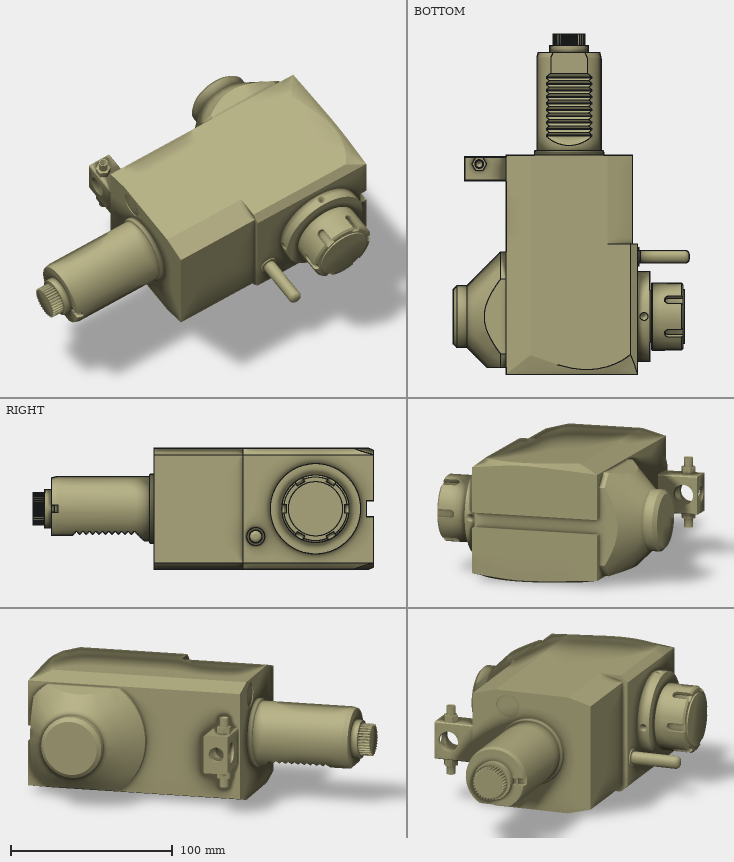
import cadquery as cq
import math


housing_length = 136.0
housing_height = 75.0
housing_left = -39.0
housing_right = 42.5
half_height = housing_height / 2
side_angle = 15.0
left_break = -23.8
edge_drop = (left_break - housing_left) * math.tan(math.radians(side_angle))
edge_z = half_height - edge_drop
right_break = 38.0
relief_side = 39.3
relief_break = relief_side - (left_break - housing_left)
relief_length = 55.0

crown_ridge_x = 13.8
crown_ridge_setback = 3.2
crown_ridge_rise = 6.5
crown_left_setback = 11.9
crown_right_setback = 12.4
crown_edge_setback = 17.0
rear_slot_width = 9.7
rear_slot_depth = 4.4

spindle_y = 100.0
cap_end = -71.7
cap_radius = 19.3
cap_chamfer = 2.4
cone_start = -63.1
flange_radius = 40.0
flange_face = cone_start + flange_radius - cap_radius
cap_rear_y = housing_length - rear_slot_depth
cap_edge_z = 32.6

collar_radius = 28.0
collar_end = 50.1
neck_radius = 16.2
nut_start = 51.0
nut_end = 70.7
nut_radius = 20.9
nut_rear_chamfer = 0.6
nut_front_chamfer = 1.2
nut_face_radius = 16.8
nut_face_end = 71.6
nut_slots = 6
nut_slot_width = 5.4
nut_slot_start = 59.2
nut_slot_depth = 3.0
dimples = 4
dimple_x = 46.4
dimple_radius = 2.5

pin_y = 63.0
pin_z = -17.2
pin_radius = 4.0
pin_end = 74.44
pin_rounding = 2.7
pin_seat_radius = 5.6
pin_seat_height = 0.7
pin_neck_radius = 3.8
pin_neck_end = 44.3

shank_radius = 20.0
shank_length = 63.5
shank_chamfer_radial = 0.8
shank_chamfer_length = 3.3
lip_radius = 21.5
lip_length = 2.9
lip_rounding = 1.2
hub_radius = 12.0
hub_end = 67.7
spline_end = 75.0
spline_radius = 10.0
spline_root = 8.9
spline_teeth = 32
spline_gap_share = 0.3
spline_tip_start = 0.5
spline_tip_finish = 0.8
key_width = 4.6
key_floor = 14.7
key_inner_width = 3.8
key_depth = 4.0
key_inner_depth = 2.0

rack_flat_z = -16.5
rack_root_z = -14.2
rack_pitch = 4.0
rack_first = 12.0
rack_teeth = 10
rack_root_width = 0.6

block_left = -64.6
block_front = 1.0
block_rear = 16.2
block_height = 24.0
block_chamfer = 0.6
fitting_x = -55.6
fitting_y = 5.6
hex_flats = 7.9
hex_height = 4.2
stud_radius = 2.7
stud_top = 22.0
stud_mouth_radius = 2.2
stud_mouth_depth = 4.0
side_port_radius = 4.8
side_port_y = 8.2
side_port_depth = 21.0
side_bore_radius = 1.4
side_bore_depth = 3.0
front_port_radius = 6.4

plug_x = -15.6
plug_z = 27.7
plug_radius = 7.6
plug_depth = 0.6


def along_x(x, y, z):
    """Workplane facing +X, with local x along Y and local y along Z."""
    return cq.Workplane("YZ", origin=(x, y, z))


def rod_x(start, end, radius, y=spindle_y, z=0.0):
    return along_x(start, y, z).circle(radius).extrude(end - start)


def rod_y(start, end, radius):
    """Round section on the shank axis from -start to -end."""
    return cq.Workplane("XZ", origin=(0, -start, 0)).circle(radius).extrude(end - start)


def box_between(x, y, z):
    """Box given by its (low, high) limits along each axis."""
    size = (x[1] - x[0], y[1] - y[0], z[1] - z[0])
    return cq.Workplane("XY").box(*size, centered=False).translate((x[0], y[0], z[0]))


def mirror_z(solid):
    return solid.mirror("XY")


def housing_prism(side, break_x, start_y, end_y):
    """Housing section with the given right side, extruded along Y."""
    outline = [
        (housing_left, -edge_z), (left_break, -half_height), (break_x, -half_height), (side, -edge_z),
        (side, edge_z), (break_x, half_height), (left_break, half_height), (housing_left, edge_z),
    ]
    section = cq.Workplane("XZ", origin=(0, end_y, 0)).polyline(outline).close()
    return section.extrude(end_y - start_y)


def crown_section(z, setbacks):
    """Housing plan at height z, with its rear edge through (x, setback) points."""
    rear = [(x, housing_length - setback) for x, setback in setbacks]
    plan = cq.Workplane("XY", origin=(0, 0, z)).moveTo(rear[-1][0], 0).lineTo(rear[0][0], 0).lineTo(*rear[0])
    return plan.spline(rear[1:], includeCurrent=True).close()


def make_crown():
    """Plan envelope of the housing above edge_z, with the sloping curved rear face."""
    lower = crown_section(edge_z, [
        (housing_left, 0), (crown_ridge_x, -crown_ridge_rise), (housing_right, 0),
    ]).wires().val()
    upper = crown_section(half_height, [
        (housing_left, crown_edge_setback), (left_break, crown_left_setback),
        (crown_ridge_x, crown_ridge_setback), (right_break, crown_right_setback),
        (housing_right, crown_edge_setback),
    ]).wires().val()
    return cq.Workplane(cq.Solid.makeLoft([lower, upper], True))


def make_housing():
    rear = housing_prism(housing_right, right_break, relief_length, housing_length)
    front = housing_prism(relief_side, relief_break, 0, relief_length)
    body = front.union(rear)
    x_limits = (housing_left, housing_right)
    middle = body.intersect(box_between(x_limits, (0, housing_length), (-edge_z, edge_z)))
    top = body.intersect(make_crown())
    body = middle.union(top).union(mirror_z(top))
    slot = box_between(
        x_limits, (cap_rear_y, housing_length), (-rear_slot_width / 2, rear_slot_width / 2))
    plug = cq.Workplane("XZ").center(plug_x, plug_z).circle(plug_radius).extrude(-plug_depth)
    return body.cut(slot).cut(plug)


def make_bearing_cap():
    profile = [
        (cap_end, 0), (cap_end, cap_radius - cap_chamfer), (cap_end + cap_chamfer, cap_radius),
        (cone_start, cap_radius), (flange_face, flange_radius), (housing_left, flange_radius),
        (housing_left, 0),
    ]
    cap = cq.Workplane("XY").polyline(profile).close().revolve(360, (0, 0, 0), (1, 0, 0))
    cap = cap.translate((0, spindle_y, 0))
    end_z = cap_edge_z - (flange_face - cap_end) * math.tan(math.radians(side_angle))
    envelope = [
        (cap_end, -end_z), (flange_face, -cap_edge_z), (housing_left, -cap_edge_z),
        (housing_left, cap_edge_z), (flange_face, cap_edge_z), (cap_end, end_z),
    ]
    clip = cq.Workplane("XZ", origin=(0, cap_rear_y, 0)).polyline(envelope).close()
    return cap.intersect(clip.extrude(cap_rear_y))


def make_spindle_nose():
    collar = rod_x(housing_right, collar_end, collar_radius)
    dimple = cq.Workplane(cq.Solid.makeCone(0, dimple_radius, dimple_radius))
    dimple = dimple.translate((dimple_x, spindle_y, collar_radius - dimple_radius))
    for i in range(dimples):
        turned = dimple.rotate((0, spindle_y, 0), (1, spindle_y, 0), i * 360 / dimples)
        collar = collar.cut(turned)
    neck = rod_x(collar_end, nut_start, neck_radius)
    face = rod_x(nut_end, nut_face_end, nut_face_radius)
    return collar.union(neck).union(make_nut()).union(face)


def make_nut():
    nut = rod_x(nut_start, nut_end, nut_radius).faces("<X").chamfer(nut_rear_chamfer)
    nut = nut.faces(">X").chamfer(nut_front_chamfer)
    slot_floor = nut_radius - nut_slot_depth
    round_x = nut_slot_start + nut_slot_width / 2
    plan = cq.Workplane("XY", origin=(0, spindle_y, slot_floor))
    slot = plan.center(round_x, 0).circle(nut_slot_width / 2).extrude(2 * nut_slot_depth)
    slot = slot.union(box_between(
        (round_x, nut_end),
        (spindle_y - nut_slot_width / 2, spindle_y + nut_slot_width / 2),
        (slot_floor, slot_floor + 2 * nut_slot_depth)))
    for i in range(nut_slots):
        turn = (i + 0.5) * 360 / nut_slots
        nut = nut.cut(slot.rotate((0, spindle_y, 0), (1, spindle_y, 0), turn))
    return nut


def make_pin():
    pin = rod_x(pin_neck_end, pin_end, pin_radius, pin_y, pin_z).faces(">X").edges().fillet(pin_rounding)
    seat = rod_x(housing_right, housing_right + pin_seat_height, pin_seat_radius, pin_y, pin_z)
    neck = rod_x(housing_right, pin_neck_end, pin_neck_radius, pin_y, pin_z)
    return pin.union(neck).union(seat)


def make_shank():
    shank = rod_y(0, shank_length, shank_radius).faces("<Y").chamfer(
        shank_chamfer_length, shank_chamfer_radial)
    shank = cut_rack(shank)
    lip = rod_y(0, lip_length, lip_radius).faces("<Y").edges().fillet(lip_rounding)
    hub = rod_y(shank_length, hub_end, hub_radius)
    return cut_keyway(shank.union(lip)).union(hub).union(make_spline())


def cut_rack(shank):
    """Flat along the underside with a 45 degree run-in, crossed by V grooves."""
    groove_depth = rack_root_z - rack_flat_z
    run_in_end = rack_first - groove_depth - rack_root_width / 2
    run_in_start = rack_first - rack_root_width / 2 - (shank_radius + rack_root_z)
    side = cq.Workplane("YZ", origin=(-shank_radius, 0, 0))
    flat = side.polyline([
        (-run_in_start, -shank_radius), (-run_in_end, rack_flat_z),
        (-shank_length, rack_flat_z), (-shank_length, -shank_radius),
    ]).close().extrude(2 * shank_radius)
    shank = shank.cut(flat)
    for i in range(rack_teeth):
        y = -(rack_first + i * rack_pitch)
        root = rack_root_width / 2
        mouth = root + groove_depth
        groove = side.polyline([
            (y - root, rack_root_z), (y + root, rack_root_z),
            (y + mouth, rack_flat_z), (y - mouth, rack_flat_z),
        ]).close().extrude(2 * shank_radius)
        shank = shank.cut(groove)
    return shank


def cut_keyway(shank):
    """Stepped slot across the end face of the shank, on the +X side."""
    outer = box_between(
        (key_floor, lip_radius), (-shank_length, key_depth - shank_length), (-key_width / 2, key_width / 2))
    inner = box_between(
        (hub_radius, key_floor), (-shank_length, key_inner_depth - shank_length),
        (-key_inner_width / 2, key_inner_width / 2))
    return shank.cut(outer).cut(inner)


def make_spline():
    """Toothed drive end with straight-sided tapering teeth."""
    step = 2 * math.pi / spline_teeth
    outline = []
    tooth_corners = (
        (spline_root, 0.0), (spline_root, spline_gap_share),
        (spline_radius, spline_tip_start), (spline_radius, spline_tip_finish),
    )
    for i in range(spline_teeth):
        for radius, share in tooth_corners:
            angle = (i + share) * step
            outline.append((radius * math.cos(angle), radius * math.sin(angle)))
    section = cq.Workplane("XZ", origin=(0, -hub_end, 0)).polyline(outline).close()
    return section.extrude(spline_end - hub_end)


def make_coolant_block():
    block = box_between(
        (block_left, housing_left), (block_front, block_rear), (-block_height / 2, block_height / 2))
    block = block.edges("|X").chamfer(block_chamfer)
    side_port = rod_x(block_left, block_left + side_port_depth, side_port_radius, side_port_y)
    bore_start = block_left + side_port_depth
    side_bore = rod_x(bore_start, bore_start + side_bore_depth, side_bore_radius, side_port_y)
    front_plane = cq.Workplane("XZ", origin=(fitting_x, block_front, 0))
    front_port = front_plane.circle(front_port_radius).extrude(block_front - block_rear)
    block = block.cut(side_port).cut(side_bore).cut(front_port)
    fitting = make_fitting()
    return block.union(fitting).union(mirror_z(fitting))


def make_fitting():
    """Hexagon on top of the coolant block, with a round stud that has a conical mouth."""
    seat = cq.Workplane("XY", origin=(fitting_x, fitting_y, block_height / 2))
    hexagon = seat.polygon(6, hex_flats / math.cos(math.pi / 6)).extrude(hex_height)
    stud = seat.circle(stud_radius).extrude(stud_top - block_height / 2)
    mouth = cq.Workplane(cq.Solid.makeCone(0, stud_mouth_radius, stud_mouth_depth))
    mouth = mouth.translate((fitting_x, fitting_y, stud_top - stud_mouth_depth))
    return hexagon.union(stud).cut(mouth)


result = make_housing()
for component in (
    make_bearing_cap(), make_spindle_nose(), make_pin(), make_shank(), make_coolant_block(),
):
    result = result.union(component)